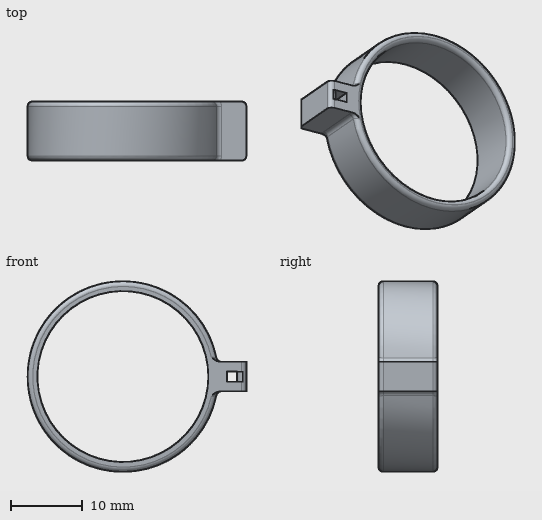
import cadquery as cq

outer_radius = 13.28
inner_radius = 11.88
width = 8.24
half_width = width / 2
bore_round = 0.68

round_radius = 0.7

tab_end = 17.21
tab_height = 4.14
half_tab_height = tab_height / 2

slot_inner_x = 14.5
slot_outer_x = 15.86
slot_height = 1.4
mouth_round = 1.0

tolerance = 1e-3


def y_cylinder(radius):
    """Solid cylinder along Y, as long as the ring is wide."""
    return cq.Workplane("XZ", origin=(0, half_width, 0)).circle(radius).extrude(width)


def box_from(x_start, x_end, depth, height):
    """Box spanning x_start to x_end, centred in Y and Z."""
    box = cq.Workplane("XY").box(x_end - x_start, depth, height, centered=(False, True, True))
    return box.translate((x_start, 0, 0))


def make_disc():
    """Ring without its bore, both outer rims rounded."""
    return y_cylinder(outer_radius).edges().fillet(round_radius)


def make_tab(disc):
    """Tab with its ring corners blended by a ball rolling over the rounded rim.

    The bar starts out wider than the ring so that each corner blend runs
    smoothly off the rim; trimming it to the ring width leaves flush faces.
    """
    bar_width = width + 6 * round_radius
    half_disc = disc.intersect(box_from(0, outer_radius, width, 2 * outer_radius))
    joined = half_disc.union(box_from(0, tab_end, bar_width, tab_height))

    corner_zone = cq.selectors.BoxSelector(
        (-tolerance, -half_width - tolerance, -half_tab_height - tolerance),
        (outer_radius, half_width + tolerance, half_tab_height + tolerance),
    )
    corners = joined.edges(corner_zone).filter(
        lambda edge: abs(abs(edge.Center().z) - half_tab_height) < tolerance
    )
    blended = corners.fillet(round_radius)

    trim_height = tab_height + 4 * round_radius
    trim = box_from(0, tab_end, width, trim_height).edges("|Z and >X").fillet(round_radius)
    return blended.intersect(trim)


def cut_bore(body):
    bored = body.cut(y_cylinder(inner_radius))
    bore_edge = bored.faces(">Y").edges(cq.selectors.RadiusNthSelector(0))
    return bore_edge.fillet(bore_round)


def make_slot():
    """Straight slot that flares outward at both mouths along a rounded outer wall."""
    slot = box_from(slot_inner_x, slot_outer_x, width, slot_height)
    flare_end = slot_outer_x + mouth_round
    flare = box_from(slot_outer_x, flare_end, width, slot_height)
    island = box_from(slot_outer_x, flare_end + mouth_round, width, slot_height)
    island = island.edges("|Z and <X").fillet(mouth_round)
    return slot.union(flare.cut(island))


disc = make_disc()
body = disc.union(make_tab(disc))
result = cut_bore(body).cut(make_slot())